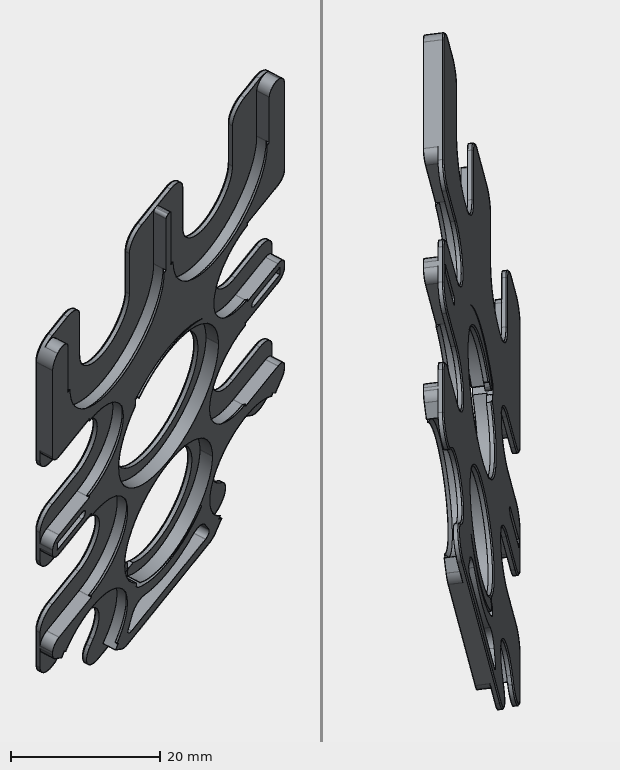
import cadquery as cq
import math

total_thickness = 2.8
width = 57.16
height = 85.6
half_width = width / 2
plate_thickness = 0.8
edge_chamfer = 0.2

position_tolerance = 0.01

plate_corner_radius = 3.0
wall_tip_radius = 1.6
foot_wall_radius = 2.2
centre_wall_tip_radius = 0.5

lip_height = 0.5
lip_start = total_thickness - lip_height

top_notch = (12.7, 73.5, 6.12, 12.1)
upper_notch = (19.5, 52.6, 5.0, 8.85)
middle_notch = (19.0, 30.1, 5.03, 9.4)
foot_notch = (19.05, 9.4, 5.0, 9.4)
notches = [(top_notch, 90), (upper_notch, 0), (middle_notch, 0), (foot_notch, -45)]
PLATE = 2
WALLS = 3
notch_reach = 40.0
foot_mouth_offset = 0.95
foot_mouth_width = 28.0

upper_hole_z = 42.3
upper_hole_radius = 10.3
lower_hole_z = 18.66
lower_hole_radius = 8.82
holes = [(upper_hole_z, upper_hole_radius), (lower_hole_z, lower_hole_radius)]
hole_recess_margin = 2.0

slot_inner_y = 20.5
slot_outer_y = 27.4
slot_width = 1.55
slot_z = 41.6
slot_inner_fillet = 0.75

window_floor_z = 1.9
window_floor_half_width = 10.5
window_roof_z = 8.0
window_roof_half_width = 7.8
window_arch_radius = 13.6
window_floor_fillet = 0.9
window_roof_fillet = 2.2

upper_slit = {
    "outer_arc": [(8.28, 10.25), (0.3, 13.1), (-7.6, 11.0)],
    "corners": [(-8.1, 10.6), (-8.1, 8.8), (-7.55, 8.4), (-7.55, 7.0), (-5.3, 7.0), (-5.5, 8.85)],
    "finger_tip": (-7.1, 8.0),
    "tip_radius": 0.7,
    "inner_arc": [(-7.3, 10.1), (0.3, 12.6)],
}
lower_slit = {
    "outer_arc": [(8.15, 8.2), (0.0, 11.5), (-7.5, 8.8)],
    "corners": [(-7.85, 8.3), (-7.85, 7.0), (-7.0, 6.7), (-7.0, 5.2), (-4.5, 5.2), (-5.4, 6.75)],
    "finger_tip": (-7.0, 6.75),
    "tip_radius": 0.3,
    "inner_arc": [(-7.0, 8.3), (0.0, 11.0)],
}


def slab(thickness):
    """Rectangular blank standing on Z = 0."""
    return cq.Workplane("YZ").rect(width, height).extrude(thickness).translate((0, 0, height / 2))


def disc(y, z, radius, start, thickness):
    return cq.Workplane("YZ", origin=(start, y, z)).circle(radius).extrude(thickness)


def both_sides(shape):
    return shape.union(shape.mirror("XZ"))


def open_notch(y, z, radius, angle, mouth_offset, mouth_width):
    """Disc with a straight mouth that starts past its centre and runs out of the blank along the angle."""
    mouth = (
        cq.Workplane("YZ")
        .center(mouth_offset + notch_reach / 2, 0)
        .rect(notch_reach, mouth_width)
        .extrude(total_thickness)
        .rotate((0, 0, 0), (1, 0, 0), angle)
        .translate((0, y, z))
    )
    return disc(y, z, radius, 0, total_thickness).union(mouth)


def round_corners(shape, corners, radius):
    """Fillet the edges along X at the given (Y, Z) corners."""
    def is_corner(edge):
        centre = edge.Center()
        return any(math.dist((centre.y, centre.z), corner) < position_tolerance for corner in corners)

    edges = [edge for edge in shape.edges("|X").vals() if is_corner(edge)]
    return shape.newObject(edges).fillet(radius)


def round_mirrored_corners(shape, corners, radius):
    """Fillet the edges along X at the given corners and at their mirror images."""
    return round_corners(shape, corners + [(-y, z) for y, z in corners], radius)


def arm_corners(radius_index):
    """Corners where the side notches meet the outer edge of the arms."""
    corners = []
    for notch in (upper_notch, middle_notch):
        for side in (1, -1):
            corners.append((half_width, notch[1] + side * notch[radius_index]))
    return corners


def plate_foot_corners():
    """Sharp corners where the sides of the diagonal notch meet the outer edge and the bottom."""
    y, z, radius, _ = foot_notch
    reach = radius * math.sqrt(2)
    return [(half_width, y + z + reach - half_width), (y + z - reach, 0)]


def wall_foot_corners():
    """Blunt corners where the wide mouth of the foot recess meets the outer edge and the bottom."""
    y, z, _, _ = foot_notch
    shift = foot_mouth_offset * math.sqrt(2)
    return [(half_width, half_width - (y - z + shift)), (y - z + shift, 0)]


def notched_slab(radius_index, thickness):
    layer = slab(thickness)
    for notch, angle in notches:
        radius = notch[radius_index]
        mouth = (0, 2 * radius)
        if notch is foot_notch and radius_index == WALLS:
            mouth = (foot_mouth_offset, foot_mouth_width)
        layer = layer.cut(both_sides(open_notch(notch[0], notch[1], radius, angle, *mouth)))
    return layer


def make_plate():
    """Thin front plate with rounded arms and a chamfer around the front face."""
    plate = notched_slab(PLATE, plate_thickness)
    top_y, _, top_radius, _ = top_notch
    corners = arm_corners(PLATE) + plate_foot_corners() + [
        (half_width, height),
        (top_y - top_radius, height),
        (top_y + top_radius, height),
    ]
    plate = round_mirrored_corners(plate, corners, plate_corner_radius)
    for z, radius in holes:
        plate = plate.cut(disc(0, z, radius, 0, plate_thickness))
    return plate.faces("<X").edges().chamfer(edge_chamfer)


def make_walls():
    """Walls left between the notch recesses and the hole recesses."""
    walls = notched_slab(WALLS, total_thickness - plate_thickness)
    top_y, _, _, top_radius = top_notch
    walls = round_mirrored_corners(walls, [(half_width, height)], plate_corner_radius)
    walls = round_mirrored_corners(walls, arm_corners(WALLS), wall_tip_radius)
    walls = round_mirrored_corners(walls, [(top_y + top_radius, height)], wall_tip_radius)
    walls = round_mirrored_corners(walls, [(top_y - top_radius, height)], centre_wall_tip_radius)
    walls = round_mirrored_corners(walls, wall_foot_corners(), foot_wall_radius)
    walls = walls.translate((plate_thickness, 0, 0))
    for z, radius in holes:
        walls = walls.cut(disc(0, z, radius + hole_recess_margin, plate_thickness, total_thickness))
    return walls


def snap_lip(notch, opening_angle):
    """Half ring with a sloping flank that narrows the closed end of a recess at the back."""
    y, z, _, radius = notch
    inner_radius = radius - lip_height
    lip = (
        cq.Workplane("XY")
        .polyline([(lip_start, radius), (total_thickness, radius), (total_thickness, inner_radius)])
        .close()
        .revolve(180, (0, 0), (1, 0))
    )
    return lip.rotate((0, 0, 0), (1, 0, 0), opening_angle + 90).translate((0, y, z))


def spring_slit(hole_z, direction, outer_arc, corners, finger_tip, tip_radius, inner_arc):
    """Curved slit that frees a spring finger beside a hole.

    Points are (Y, Z) offsets from the hole centre, with Z counted along the direction.
    The outer arc leaves the finger root, the corners lead around the finger's free end through
    the hole, and the inner arc runs back along the finger to its root.
    """
    def place(point):
        return (point[0], direction * point[1])

    root, outer_crown, outer_end = outer_arc
    inner_end, inner_crown = inner_arc
    slit = (
        cq.Workplane("YZ", origin=(0, 0, hole_z))
        .moveTo(*place(root))
        .threePointArc(place(outer_crown), place(outer_end))
    )
    for point in corners + [finger_tip, inner_end]:
        slit = slit.lineTo(*place(point))
    slit = slit.threePointArc(place(inner_crown), place(root)).close().extrude(total_thickness)
    tip_corner = (finger_tip[0], hole_z + direction * finger_tip[1])
    return round_corners(slit, [tip_corner], tip_radius)


def arm_slot():
    """Slot with a rounded inner end."""
    length = slot_outer_y - slot_inner_y
    body = (
        cq.Workplane("YZ", origin=(0, slot_inner_y + length / 2, slot_z))
        .rect(length, slot_width)
        .extrude(total_thickness)
    )
    return body.edges("|X and <Y").fillet(slot_inner_fillet)


def foot_window():
    """Trapezoid with its roof replaced by an arch around the lower hole."""
    outline = [
        (-window_floor_half_width, window_floor_z),
        (window_floor_half_width, window_floor_z),
        (window_roof_half_width, window_roof_z),
        (-window_roof_half_width, window_roof_z),
    ]
    window = cq.Workplane("YZ").polyline(outline).close().extrude(total_thickness)
    window = window.cut(disc(0, lower_hole_z, window_arch_radius, 0, total_thickness))
    middle_z = (window_floor_z + window_roof_z) / 2
    floor = [e for e in window.edges("|X").vals() if e.Center().z < middle_z]
    window = window.newObject(floor).fillet(window_floor_fillet)
    roof = [e for e in window.edges("|X").vals() if e.Center().z > middle_z]
    return window.newObject(roof).fillet(window_roof_fillet)


result = make_plate().union(make_walls())
for notch, angle in notches:
    result = result.union(both_sides(snap_lip(notch, angle)))
result = result.cut(both_sides(arm_slot())).cut(foot_window())
result = result.cut(spring_slit(upper_hole_z, 1, **upper_slit))
result = result.cut(spring_slit(lower_hole_z, -1, **lower_slit))